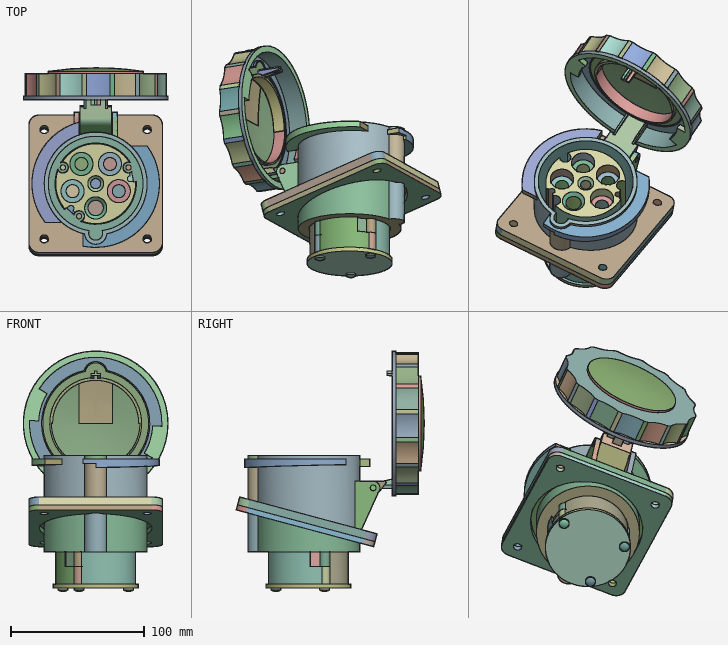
import cadquery as cq
import math


housing_r = 38.6
housing_wall = 3.0
bore_r = housing_r - housing_wall
housing_bottom_z = 29.8
housing_top_z = 102.1
floor_t = 3.6
floor_top_z = housing_bottom_z + floor_t
floor_hole_r = 30.5
key_r = 8.3
key_y = -37.2

tilt = 15.0
plate_x = 100.3
plate_y = 106.8
plate_corner_r = 8.0
plate_top_z = 57.2
plate_t = 6.1
gasket_t = 4.0
gasket_hole_r = 42.2
mount_hole_r = 3.0
mount_spacing_x = 77.2
mount_spacing_y = 84.8
mount_shift_y = -0.4

flange_r = 47.8
flange_top_z = 99.6
left_start_x = -12.5
left_end_y = -29.0
left_bottom_z = (93.6, 95.3)
right_start_x = -9.5
right_step_x = 0.2
right_end_y = 28.3
right_bottom_z = (93.0, 95.3)
right_step_z = 96.0

insert_r = 30.0
insert_bottom_z = 2.5
insert_top_z = 99.0
disc_r = 32.0
disc_t = 3.0
disc_top_z = insert_bottom_z + disc_t
contact_circle_r = 18.2
contact_angles = (54, 126, 198, 342)
earth_angle = 270
socket_r = 8.7
socket_depth = 10.0
contact_r = 4.9
contact_depth = 21.7
earth_r = 5.8
earth_mouth_r = 8.3
pilot_r = 3.8
pilot_mouth_r = 6.0
notch_r = 4.1
notch_bottom_z = 19.0
slot_r = 2.2
slot_circle_r = 26.2
slot_offset = 18
link_inner_r = 26.5
rim_flat_distance = 28.1
rim_flat_width = 9.7
rim_flat_offset = 14

screw_circle_r = 27.5
screw_angles = (26.2, 153.8, 243.0)
slotted_screw_angles = (26.2, 243.0)
boss_r = 4.0
screw_head_r = 3.8
screw_head_edge = 1.3
screw_shaft_r = 2.0

lid_r = 54.3
lid_face_y = 62.8
lid_z = 126.1
rim_depth = 2.9
grip_r = 53.5
lid_back_depth = 19.7
grip_count = 16
grip_phase = 2.0
grip_half_angle = 9.4
grip_sag = 1.6
recess_r = 49.6
recess_depth = 14.6
cavity_r = 33.2
cavity_depth = 19.1
dome_rise = 2.7
back_disc_r = 35.7
back_disc_depth = 21.5
step_r = 32.3
collar_r = 34.5
collar_depth = 10.1
panel_half_x = 12.5
panel_recess = 0.4
tooth_r = 42.8
tooth_t = 4.0
tooth_start = 148.5
tooth_span = 29.0
lug_tip_y = 58.8
lug_half_x = 3.5
lug_base_r = 33.5
lug_top_r = 37.5
lug_tip_r = 36.0
lug_slot_half_x = 1.5
lug_slot_top_r = 35.9
lug_ridge_half_x = 0.9
lug_ridge_top_r = 39.3

seal_r = 39.7
seal_t = 1.5
seal_wall = 0.9
seal_wall_h = 2.0
seal_key_r = 8.0
seal_key_offset = 37.5

pin_r = 2.2
pin_y = 48.5
pin_z = 77.8
hinge_half_x = 16.2
ear_gap_half_x = 12.5
ear_r = 5.0
ear_foot_y = 39.7
ear_foot_z = 46.0
tongue_half_x = 11.9
tongue_nose_y = 58.5
tongue_nose_z = 81.7
tongue_nose_bevel = 1.0
tongue_heel_y = 53.4
tongue_heel_z = 75.0
tongue_back_tilt = 25.0
tongue_tip_y = 36.6
tongue_clearance = 0.2
arm_half_x = 8.8
arm_bottom_z = 80.1
arm_rail_t = 1.5
arm_rail_end_y = 56.5
arm_rail_z = (84.5, 83.0)
rib_half_x = 3.6
rib_bottom_z = 77.2

cut_margin = 9.0


def polar(radius, angle):
    a = math.radians(angle)
    return (radius * math.cos(a), radius * math.sin(a))


def post(radius, bottom_z, top_z, place=(0, 0)):
    """A vertical cylinder between two heights."""
    return cq.Workplane("XY", origin=(*place, bottom_z)).circle(radius).extrude(top_z - bottom_z)


def block(x_range, y_range, z_range):
    """A box given by its limits along each axis."""
    size = [high - low for low, high in (x_range, y_range, z_range)]
    corner = (x_range[0], y_range[0], z_range[0])
    return cq.Workplane("XY").box(*size, centered=False).translate(corner)


def keyed_column(wall_offset, bottom_z, top_z):
    """The housing outline with its key bulge, offset outward by wall_offset."""
    body = post(housing_r + wall_offset, bottom_z, top_z)
    return body.union(post(key_r + wall_offset, bottom_z, top_z, (0, key_y)))


def tilted_slab(top, thickness):
    """A slab of the mounting plate, its top a distance below the plate's top face."""
    slab = (
        cq.Workplane("XY", origin=(0, 0, -top))
        .rect(plate_x, plate_y)
        .extrude(-thickness)
        .edges("|Z")
        .fillet(plate_corner_r)
    )
    holes = (
        cq.Workplane("XY", origin=(0, mount_shift_y, -top))
        .rect(mount_spacing_x, mount_spacing_y, forConstruction=True)
        .vertices()
        .circle(mount_hole_r)
        .extrude(-thickness)
    )
    return slab.cut(holes)


def tilt_in_place(body):
    return body.rotate((0, 0, 0), (1, 0, 0), -tilt).translate((0, 0, plate_top_z))


def flange_segment(corners, start, end, bottom_z):
    """Part of the bayonet ring inside a polygon, with an underside rising from start to end."""
    low, high = bottom_z
    ring = post(flange_r, low, flange_top_z).cut(post(bore_r, low, flange_top_z))
    region = cq.Workplane("XY", origin=(0, 0, low)).polyline(corners).close().extrude(flange_top_z - low)
    run = math.dist(start, end)
    heading = math.degrees(math.atan2(end[1] - start[1], end[0] - start[0]))
    reach = 2 * flange_r
    middle = (low + high) / 2
    rise = (high - low) / run * reach
    ramp = (
        cq.Workplane("XZ")
        .polyline([(-reach, middle - rise), (reach, middle + rise), (reach, 0), (-reach, 0)])
        .close()
        .extrude(reach, both=True)
        .rotate((0, 0, 0), (0, 0, 1), heading)
    )
    return ring.intersect(region).cut(ramp)


def left_flange():
    edge = flange_r + cut_margin
    corners = [
        (0, 0),
        (left_start_x, 0),
        (left_start_x, edge),
        (-edge, edge),
        (-edge, left_end_y),
        (0, left_end_y),
    ]
    start = (left_start_x, math.sqrt(flange_r**2 - left_start_x**2))
    end = (-math.sqrt(flange_r**2 - left_end_y**2), left_end_y)
    return flange_segment(corners, start, end, left_bottom_z)


def right_flange():
    edge = flange_r + cut_margin
    corners = [
        (0, 0),
        (right_start_x, 0),
        (right_start_x, -edge),
        (edge, -edge),
        (edge, right_end_y),
        (0, right_end_y),
    ]
    start = (right_step_x, -flange_r)
    end = (math.sqrt(flange_r**2 - right_end_y**2), right_end_y)
    segment = flange_segment(corners, start, end, right_bottom_z)
    step = block((right_start_x, right_step_x), (-edge, 0), (right_bottom_z[0], right_step_z))
    return segment.cut(step)


def hinge_ears():
    """Two ears on the housing, rounded about the hinge pin and tapering down to the plate."""
    foot_angle = math.atan2(pin_z - ear_foot_z, pin_y - ear_foot_y)
    foot_run = math.hypot(pin_y - ear_foot_y, pin_z - ear_foot_z)
    tangent_angle = foot_angle + math.pi + math.acos(ear_r / foot_run)
    mid_angle = (tangent_angle - 2 * math.pi + math.pi / 2) / 2

    def around_pin(a):
        return (pin_y + ear_r * math.cos(a), pin_z + ear_r * math.sin(a))

    web = (
        cq.Workplane("YZ")
        .moveTo(0, pin_z + ear_r)
        .lineTo(pin_y, pin_z + ear_r)
        .threePointArc(around_pin(mid_angle), around_pin(tangent_angle))
        .lineTo(ear_foot_y, ear_foot_z)
        .lineTo(0, ear_foot_z)
        .close()
        .extrude(hinge_half_x, both=True)
    )
    gap = block(
        (-ear_gap_half_x, ear_gap_half_x),
        (0, pin_y + 2 * ear_r),
        (ear_foot_z - cut_margin, pin_z + 2 * ear_r),
    )
    return web.cut(gap).cut(pin)


def make_pin():
    return cq.Workplane("YZ").center(pin_y, pin_z).circle(pin_r).extrude(hinge_half_x, both=True)


def rim_flat(screw_angle, top_z):
    """The block outside the flat on the insert's rim, beside a screw."""
    half = rim_flat_width / 2
    flat = block((rim_flat_distance, housing_r), (-half, half), (notch_bottom_z, top_z))
    return flat.rotate((0, 0, 0), (0, 0, 1), screw_angle - rim_flat_offset)


def make_housing():
    body = keyed_column(0, housing_bottom_z, housing_top_z)
    body = body.union(tilt_in_place(tilted_slab(0, plate_t)))
    body = body.union(hinge_ears()).union(left_flange()).union(right_flange())
    body = body.cut(keyed_column(-housing_wall, floor_top_z, housing_top_z))
    floor_hole = post(floor_hole_r, housing_bottom_z, floor_top_z)
    for angle in slotted_screw_angles:
        floor_hole = floor_hole.cut(rim_flat(angle, floor_top_z))
    body = body.cut(floor_hole)
    for angle in screw_angles:
        place = polar(screw_circle_r, angle)
        body = body.union(post(boss_r, notch_bottom_z, floor_top_z, place))
        body = body.cut(post(screw_shaft_r, notch_bottom_z, floor_top_z, place))
    return body


def make_gasket():
    hole = cq.Workplane("XY", origin=(0, 0, -plate_t)).circle(gasket_hole_r).extrude(-gasket_t)
    gasket = tilt_in_place(tilted_slab(plate_t, gasket_t).cut(hole))
    return gasket.cut(keyed_column(0, housing_bottom_z, housing_top_z))


def beveled_hole(radius, mouth_r, place):
    """A blind hole from the insert's top face with a 45 degree mouth."""
    hole = post(radius, insert_top_z - contact_depth, insert_top_z, place)
    bevel = mouth_r - radius
    mouth = cq.Solid.makeCone(radius, mouth_r, bevel, cq.Vector(*place, insert_top_z - bevel))
    return hole.union(cq.Workplane(mouth))


def key_slot(screw_angle):
    """A rounded slot beside a screw notch, joined to it by a shallow step in the rim."""
    height = insert_top_z - floor_top_z
    base = cq.Workplane("XY", origin=(0, 0, floor_top_z))
    depth = insert_r + cut_margin - slot_circle_r
    slot = base.center(slot_circle_r, 0).circle(slot_r).extrude(height)
    slot = slot.union(base.center(slot_circle_r + depth / 2, 0).rect(depth, 2 * slot_r).extrude(height))
    reach = insert_r + cut_margin
    link = (
        base.circle(reach).circle(link_inner_r).extrude(height)
        .intersect(
            base.polyline([(0, 0), (reach, 0), polar(reach, slot_offset)]).close().extrude(height)
        )
    )
    return slot.union(link).rotate((0, 0, 0), (0, 0, 1), screw_angle - slot_offset)


def make_insert():
    body = post(insert_r, insert_bottom_z, insert_top_z)
    body = body.union(post(disc_r, insert_bottom_z, disc_top_z))
    for angle in screw_angles:
        place = polar(screw_circle_r, angle)
        body = body.union(post(boss_r, disc_top_z, notch_bottom_z, place))
        body = body.cut(post(notch_r, notch_bottom_z, insert_top_z, place))
        body = body.cut(post(screw_shaft_r, insert_bottom_z, notch_bottom_z, place))
    for angle in slotted_screw_angles:
        body = body.cut(key_slot(angle)).cut(rim_flat(angle, insert_top_z))
    for angle in contact_angles:
        place = polar(contact_circle_r, angle)
        body = body.cut(post(socket_r, insert_top_z - socket_depth, insert_top_z, place))
        body = body.cut(post(contact_r, insert_top_z - contact_depth, insert_top_z, place))
    body = body.cut(beveled_hole(earth_r, earth_mouth_r, polar(contact_circle_r, earth_angle)))
    return body.cut(beveled_hole(pilot_r, pilot_mouth_r, (0, 0)))


def dome_arc(radius, rise):
    """How far a dome's middle point lies from its axis and below its apex."""
    sphere_r = (radius**2 + rise**2) / (2 * rise)
    half_angle = math.asin(radius / sphere_r) / 2
    return (sphere_r * math.sin(half_angle), sphere_r * (1 - math.cos(half_angle)))


def make_screw(angle):
    """A screw with a domed head under the insert and a plain shaft up to the housing floor."""
    head_rise = insert_bottom_z - screw_head_edge
    profile = (
        cq.Workplane("XZ")
        .moveTo(0, 0)
        .threePointArc(dome_arc(screw_head_r, head_rise), (screw_head_r, head_rise))
        .lineTo(screw_head_r, insert_bottom_z)
        .lineTo(screw_shaft_r, insert_bottom_z)
        .lineTo(screw_shaft_r, floor_top_z)
        .lineTo(0, floor_top_z)
        .close()
    )
    return profile.revolve(360, (0, 0), (0, 1)).translate((*polar(screw_circle_r, angle), 0))


def lid_plane(depth):
    """The plane across the lid axis at a depth; extrude negative lengths to go deeper."""
    return cq.Workplane("XZ", origin=(0, lid_face_y + depth, lid_z))


def lid_disc(radius, start, end):
    return lid_plane(start).circle(radius).extrude(start - end)


def keyed_lid_disc(wall_offset, height):
    """The seal outline with its key bulge, standing on the lid floor."""
    start = recess_depth - height
    body = lid_disc(seal_r + wall_offset, start, recess_depth)
    bulge = lid_plane(start).center(0, seal_key_offset).circle(seal_key_r + wall_offset).extrude(-height)
    return body.union(bulge)


def domed_disc(radius, start, edge, rise):
    """A disc on the lid axis whose far face bulges by rise at its centre."""
    mid_r, mid_drop = dome_arc(radius, rise)
    return (
        cq.Workplane("XY", origin=(0, lid_face_y, lid_z))
        .moveTo(0, start)
        .lineTo(radius, start)
        .lineTo(radius, edge)
        .threePointArc((mid_r, edge + rise - mid_drop), (0, edge + rise))
        .close()
        .revolve(360, (0, 0), (0, 1))
    )


def grip_scallops():
    half_chord = grip_r * math.sin(math.radians(grip_half_angle))
    scallop_r = (half_chord**2 + grip_sag**2) / (2 * grip_sag)
    centre_r = grip_r * math.cos(math.radians(grip_half_angle)) - grip_sag + scallop_r
    pitch = 360 / grip_count
    length = lid_back_depth - rim_depth
    scallops = []
    for i in range(grip_count):
        centre = polar(centre_r, 90 - grip_phase - i * pitch)
        scallops.append(lid_plane(rim_depth).center(*centre).circle(scallop_r).extrude(-length))
    return scallops


def bayonet_tooth(start_angle):
    middle = start_angle + tooth_span / 2
    end = start_angle + tooth_span
    return (
        lid_plane(0)
        .moveTo(*polar(tooth_r, start_angle))
        .threePointArc(polar(tooth_r, middle), polar(tooth_r, end))
        .lineTo(*polar(recess_r, end))
        .threePointArc(polar(recess_r, middle), polar(recess_r, start_angle))
        .close()
        .extrude(-tooth_t)
    )


def lid_lug():
    """The ridged lug on the lid floor, tapering and slotted below, that reaches past the open face."""
    root_y = lid_face_y + recess_depth
    collar_y = lid_face_y + collar_depth
    body = (
        cq.Workplane("YZ")
        .polyline(
            [
                (root_y, lid_z + lug_base_r),
                (root_y, lid_z + lug_top_r),
                (lug_tip_y, lid_z + lug_top_r),
                (lug_tip_y, lid_z + lug_tip_r),
                (collar_y, lid_z + lug_base_r),
            ]
        )
        .close()
        .extrude(lug_half_x, both=True)
    )
    slot = block(
        (-lug_slot_half_x, lug_slot_half_x),
        (lug_tip_y, collar_y),
        (lid_z + lug_base_r, lid_z + lug_slot_top_r),
    )
    ridge = block(
        (-lug_ridge_half_x, lug_ridge_half_x),
        (lug_tip_y, root_y),
        (lid_z + lug_top_r, lid_z + lug_ridge_top_r),
    )
    return body.cut(slot).union(ridge)


def lid_arm():
    """The railed arm on the lid floor and the rounded tongue that turns on the pin."""
    top_z = pin_z + ear_r
    root_y = lid_face_y + recess_depth
    back = math.radians(tongue_back_tilt)
    back_y = pin_y - ear_r * math.cos(back)
    back_z = pin_z + ear_r * math.sin(back)
    tip_z = back_z - (back_y - tongue_tip_y) / math.tan(back)
    mid = (math.pi / 2 + math.pi - back) / 2
    arc_mid = (pin_y + ear_r * math.cos(mid), pin_z + ear_r * math.sin(mid))
    tongue = (
        cq.Workplane("YZ")
        .moveTo(tongue_nose_y, tongue_nose_z)
        .lineTo(tongue_nose_y - tongue_nose_bevel, top_z)
        .lineTo(pin_y, top_z)
        .threePointArc(arc_mid, (back_y, back_z))
        .lineTo(tongue_tip_y, tip_z)
        .lineTo(tongue_heel_y, tongue_heel_z)
        .close()
        .extrude(tongue_half_x, both=True)
    )
    arm = block((-arm_half_x, arm_half_x), (arm_rail_end_y, root_y), (arm_bottom_z, top_z))
    rib = block((-rib_half_x, rib_half_x), (tongue_heel_y, root_y), (rib_bottom_z, top_z))
    rails = (
        cq.Workplane("YZ")
        .polyline(
            [
                (root_y, arm_bottom_z),
                (root_y, arm_rail_z[0]),
                (lid_face_y, arm_rail_z[0]),
                (arm_rail_end_y, arm_rail_z[1]),
                (arm_rail_end_y, arm_bottom_z),
            ]
        )
        .close()
        .extrude(arm_half_x, both=True)
    )
    inner = arm_half_x - arm_rail_t
    rails = rails.cut(block((-inner, inner), (0, root_y), (0, lid_z)))
    tongue = tongue.cut(post(housing_r + tongue_clearance, 0, pin_z))
    return tongue.union(arm).union(rib).union(rails).cut(pin)


def make_lid():
    cavity = domed_disc(cavity_r, 0, cavity_depth, dome_rise)
    body = lid_disc(lid_r, 0, rim_depth).union(lid_disc(grip_r, rim_depth, lid_back_depth))
    for scallop in grip_scallops():
        body = body.cut(scallop)
    body = body.union(domed_disc(back_disc_r, lid_back_depth, back_disc_depth, dome_rise))
    body = body.cut(lid_disc(recess_r, 0, recess_depth)).cut(cavity)
    body = body.union(lid_disc(collar_r, collar_depth, recess_depth).cut(cavity))
    wall = keyed_lid_disc(seal_wall, seal_wall_h).cut(keyed_lid_disc(0, seal_wall_h))
    body = body.union(wall)
    upper = block((-lid_r, lid_r), (lid_face_y, lid_face_y + lid_r), (lid_z, lid_z + lid_r))
    bore = lid_disc(step_r, 0, lid_back_depth)
    body = body.union(lid_disc(cavity_r, collar_depth, cavity_depth).cut(bore).intersect(upper))
    panel = block((-panel_half_x, panel_half_x), (lid_face_y, lid_face_y + lid_r), (lid_z, lid_z + step_r))
    panel = panel.intersect(cavity.translate((0, panel_recess, 0)))
    body = body.cut(panel.intersect(lid_disc(step_r, 0, lid_r)))
    for angle in (tooth_start, tooth_start + 180):
        body = body.union(bayonet_tooth(angle))
    return body.union(lid_lug()).union(lid_arm())


def make_seal():
    """A ring with a key bulge, lying on the lid floor between the collar and the wall."""
    ring = keyed_lid_disc(0, seal_t)
    return ring.cut(lid_disc(collar_r, 0, recess_depth)).cut(lid_lug())


pin = make_pin()
housing = make_housing()
gasket = make_gasket()
insert = make_insert()
screws = [make_screw(angle) for angle in screw_angles]
lid = make_lid()
seal = make_seal()

result = cq.Compound.makeCompound(
    [housing.val(), gasket.val(), insert.val(), *[s.val() for s in screws], lid.val(), seal.val(), pin.val()]
)